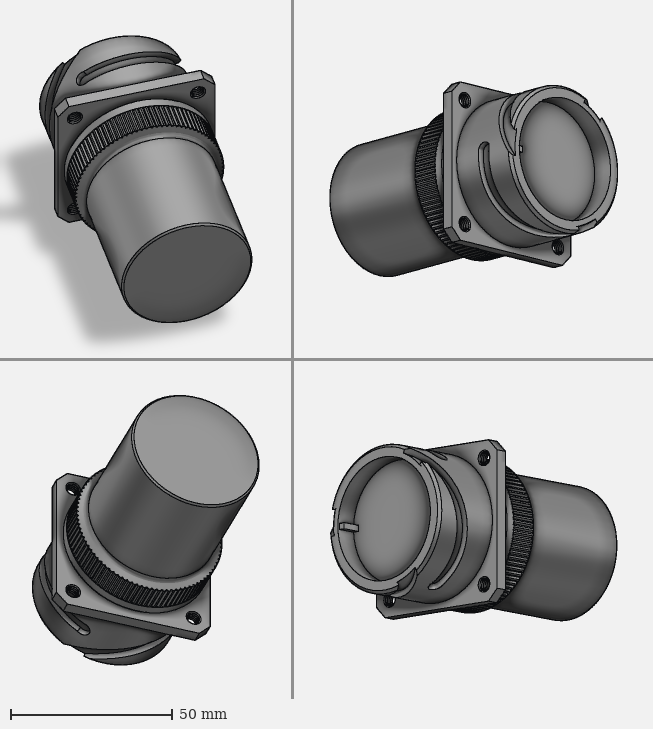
import cadquery as cq
import math

LENGTH = 84.3

SHELL_RADIUS = 23.4
SHELL_CHAMFER = 0.9
SOCKET_RADIUS = 19.5
SOCKET_DEPTH = 7.2
KEY_WIDTH = 1.9
KEY_HEIGHT = 2.0
KEY_SETBACK = 0.7

FLANGE_SIDE = 50.8
FLANGE_START = 24.1
FLANGE_END = 28.0
FLANGE_CORNER = 3.6
HOLE_PITCH = 39.8
THREAD_MAJOR_RADIUS = 2.45
THREAD_MINOR_RADIUS = 2.0
THREAD_TURNS = 5

COLLAR_RADIUS = 20.8
COLLAR_END = 28.75
NECK_RADIUS = 19.8

RING_RADIUS = 24.0
RING_START = 29.25
RING_CHAMFER = 1.0
RING_END = 42.3
RING_CONE_RADIUS = 22.1
RING_CONE_END = 43.6

KNURL_START = 33.3
KNURL_COUNT = 90
KNURL_DEPTH = 0.565
RING_CORE_RADIUS = RING_RADIUS - 2 * KNURL_DEPTH

TUBE_RADIUS = 21.1
TUBE_BLEND_END = 44.9
TUBE_CHAMFER = 0.6

SLOT_COUNT = 3
SLOT_WIDTH = 4.6
SLOT_FLOOR_RADIUS = 21.3
SLOT_DEEPEST_X = 12.0
SLOT_ENTRY_ANGLE = 57.0
SLOT_LEVEL_ANGLE = -45.0
SLOT_END_ANGLE = -62.5
SLOT_END_X = 11.9
SLOT_END_DIAMETER = 4.9
SLOT_STEP_ANGLE = 12.0
SLOT_ENTRY_OVERRUN = 20.0

OVERCUT = 0.85


def disc(radius, start, end):
    """Cylinder around the X axis from x = start to x = end."""
    return cq.Workplane("YZ", origin=(start, 0, 0)).circle(radius).extrude(end - start)


def polar(radius, angle):
    """Point of the YZ plane at the given radius and angle in radians."""
    return (radius * math.cos(angle), radius * math.sin(angle))


def slot_path_x(angle):
    """Axial position of the slot centre line at the given angle."""
    arc_span = math.radians(SLOT_ENTRY_ANGLE - SLOT_LEVEL_ANGLE) * SHELL_RADIUS
    arc_radius = (arc_span**2 + SLOT_DEEPEST_X**2) / (2 * SLOT_DEEPEST_X)
    along = math.radians(max(angle - SLOT_LEVEL_ANGLE, 0)) * SHELL_RADIUS
    return SLOT_DEEPEST_X - arc_radius + math.sqrt(arc_radius**2 - along**2)


def slot_path(radius):
    """Slot centre line laid on a cylinder of the given radius, from outside the face to the round end."""
    first_angle = SLOT_ENTRY_ANGLE + SLOT_ENTRY_OVERRUN
    steps = math.ceil((first_angle - SLOT_END_ANGLE) / SLOT_STEP_ANGLE)
    points = []
    for step in range(steps + 1):
        angle = first_angle + (SLOT_END_ANGLE - first_angle) * step / steps
        turn = math.radians(angle)
        points.append(cq.Vector(slot_path_x(angle), -radius * math.cos(turn), radius * math.sin(turn)))
    return cq.Workplane("XY").add(cq.Edge.makeSpline(points)).toPending().consolidateWires()


def slot_cutter():
    """Swept channel plus the round end, reaching from below the slot floor to above the shell."""
    floor = SLOT_FLOOR_RADIUS - OVERCUT
    height = SHELL_RADIUS + OVERCUT - floor
    end_turn = math.radians(SLOT_END_ANGLE)
    outward = cq.Vector(0, -math.cos(end_turn), math.sin(end_turn))
    end_base = outward * floor + cq.Vector(SLOT_END_X, 0, 0)

    path = slot_path(floor)
    wire = path.val()
    start = wire.startPoint()
    start_outward = cq.Vector(0, start.y, start.z).normalized()
    tangent = wire.tangentAt(0)
    section_plane = cq.Plane(start, start_outward, tangent)
    channel = (
        cq.Workplane(section_plane)
        .center(height / 2, 0)
        .rect(height, SLOT_WIDTH)
        .sweep(path, auxSpine=slot_path(floor + height))
    )
    round_end = cq.Solid.makeCylinder(SLOT_END_DIAMETER / 2, height, end_base, outward)
    return channel.union(cq.Workplane(round_end))


def make_shell():
    """Chamfered shell: slots cut through an outer sleeve that sits on a core at slot-floor radius."""
    core = disc(SLOT_FLOOR_RADIUS, 0, FLANGE_START)
    sleeve = disc(SHELL_RADIUS, 0, FLANGE_START).faces("<X").chamfer(SHELL_CHAMFER)
    sleeve = sleeve.cut(core)
    cutter = slot_cutter()
    for index in range(SLOT_COUNT):
        sleeve = sleeve.cut(cutter.rotate((0, 0, 0), (1, 0, 0), 360 * index / SLOT_COUNT))
    return core.union(sleeve).cut(disc(SOCKET_RADIUS, 0, SOCKET_DEPTH))


def make_key():
    """Polarising key on the +Y wall of the socket."""
    embedded_height = KEY_HEIGHT + OVERCUT
    return (
        cq.Workplane("XY")
        .box(SOCKET_DEPTH - KEY_SETBACK, embedded_height, KEY_WIDTH, centered=(False, False, True))
        .translate((KEY_SETBACK, SOCKET_RADIUS - KEY_HEIGHT, 0))
    )


def thread_cutter():
    """Tapped hole along X with its V thread simplified to evenly spaced rings."""
    pitch = (FLANGE_END - FLANGE_START) / THREAD_TURNS
    profile = cq.Workplane("XY").moveTo(FLANGE_START, 0).lineTo(FLANGE_START, THREAD_MAJOR_RADIUS)
    for turn in range(THREAD_TURNS):
        turn_start = FLANGE_START + turn * pitch
        profile = profile.lineTo(turn_start + pitch / 2, THREAD_MINOR_RADIUS)
        profile = profile.lineTo(turn_start + pitch, THREAD_MAJOR_RADIUS)
    return profile.lineTo(FLANGE_END, 0).close().revolve(360, (0, 0, 0), (1, 0, 0))


def make_flange():
    flange = (
        cq.Workplane("YZ", origin=(FLANGE_START, 0, 0))
        .rect(FLANGE_SIDE, FLANGE_SIDE)
        .extrude(FLANGE_END - FLANGE_START)
        .edges("|X")
        .chamfer(FLANGE_CORNER)
    )
    hole = thread_cutter()
    for y_side in (-1, 1):
        for z_side in (-1, 1):
            flange = flange.cut(hole.translate((0, y_side * HOLE_PITCH / 2, z_side * HOLE_PITCH / 2)))
    return flange


def make_rear_body():
    """Neck, coupling ring and rear tube as one turned profile, with a recess for the knurled band."""
    return (
        cq.Workplane("XY")
        .moveTo(FLANGE_END, 0)
        .lineTo(FLANGE_END, COLLAR_RADIUS)
        .lineTo(COLLAR_END, COLLAR_RADIUS)
        .lineTo(COLLAR_END, NECK_RADIUS)
        .lineTo(RING_START, NECK_RADIUS)
        .lineTo(RING_START, RING_RADIUS - RING_CHAMFER)
        .lineTo(RING_START + RING_CHAMFER, RING_RADIUS)
        .lineTo(KNURL_START, RING_RADIUS)
        .lineTo(KNURL_START, RING_CORE_RADIUS)
        .lineTo(RING_END, RING_CORE_RADIUS)
        .lineTo(RING_END, RING_RADIUS)
        .lineTo(RING_CONE_END, RING_CONE_RADIUS)
        .tangentArcPoint((TUBE_BLEND_END, TUBE_RADIUS), relative=False)
        .lineTo(LENGTH - TUBE_CHAMFER, TUBE_RADIUS)
        .lineTo(LENGTH, TUBE_RADIUS - TUBE_CHAMFER)
        .lineTo(LENGTH, 0)
        .close()
        .revolve(360, (0, 0, 0), (1, 0, 0))
    )


def make_knurl():
    """Knurled band: flat-topped teeth parted by 90-degree V grooves."""
    root_radius = RING_RADIUS - KNURL_DEPTH
    step = 2 * math.pi / KNURL_COUNT
    half_groove = math.asin(KNURL_DEPTH / RING_RADIUS)
    corners = []
    for index in range(KNURL_COUNT):
        groove_angle = index * step
        corners.append(polar(RING_RADIUS, groove_angle - half_groove))
        corners.append(polar(root_radius, groove_angle))
        corners.append(polar(RING_RADIUS, groove_angle + half_groove))
    band = cq.Workplane("YZ", origin=(KNURL_START, 0, 0)).polyline(corners).close()
    return band.extrude(RING_END - KNURL_START)


result = make_shell().union(make_key()).union(make_flange())
result = result.union(make_rear_body()).union(make_knurl())